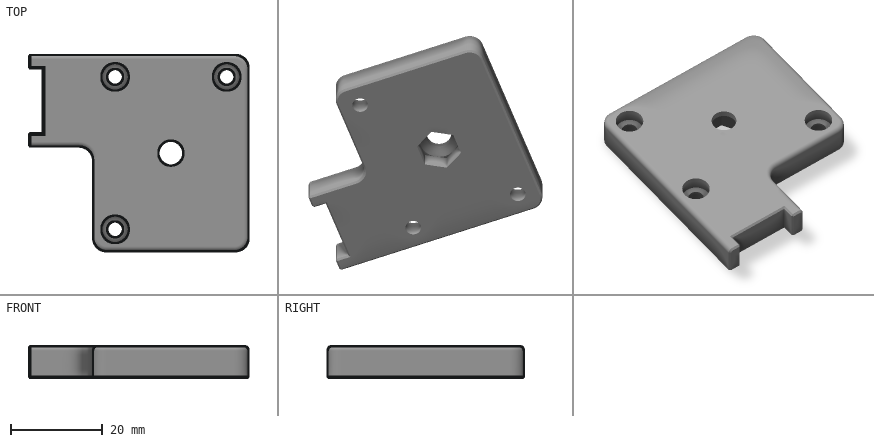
import cadquery as cq

SCREW_PITCH_X = 24.3
SCREW_PITCH_Y = 33.2
SCREW_MARGIN = 4.8
THICKNESS = 7.0
RIGHT = SCREW_PITCH_X / 2 + SCREW_MARGIN
BACK = SCREW_PITCH_Y / 2 + SCREW_MARGIN
CORNER_RADIUS = 3.0

EXTENSION_LENGTH = 14.0
EXTENSION_WIDTH = 20.0
ARM_WIDTH = 3.0
NOTCH_DEPTH = 3.0
EXTENSION_END = -RIGHT - EXTENSION_LENGTH
EXTENSION_FRONT = BACK - EXTENSION_WIDTH
NOTCH_FLOOR = EXTENSION_END + NOTCH_DEPTH
NOTCH_FRONT = EXTENSION_FRONT + ARM_WIDTH
NOTCH_BACK = BACK - ARM_WIDTH

TOP_FILLET = 1.0
EDGE_CHAMFER = 0.4

SCREW_DIAMETER = 3.4
HEAD_DIAMETER = 6.0
HEAD_DEPTH = 3.0
SCREW_CENTRES = [
    (-SCREW_PITCH_X / 2, SCREW_PITCH_Y / 2),
    (SCREW_PITCH_X / 2, SCREW_PITCH_Y / 2),
    (-SCREW_PITCH_X / 2, -SCREW_PITCH_Y / 2),
]

MIDDLE_DIAMETER = 5.4
STRAIGHT_DEPTH = 1.5
NUT_SIDES = 6
NUT_FLATS = 8.4
CONE_HEIGHT = (NUT_FLATS - MIDDLE_DIAMETER) / 2
POCKET_DEPTH = THICKNESS - STRAIGHT_DEPTH - CONE_HEIGHT

TOLERANCE = 0.01


def box_region(x_min, x_max, y_min, y_max, z_min, z_max):
    """Selector for the edges whose centres lie inside the given limits."""
    low = (x_min - TOLERANCE, y_min - TOLERANCE, z_min - TOLERANCE)
    high = (x_max + TOLERANCE, y_max + TOLERANCE, z_max + TOLERANCE)
    return cq.selectors.BoxSelector(low, high)


def make_blank():
    """L-shaped plate with rounded corners and upper rim, before the notch is cut."""
    plate = (
        cq.Workplane("XY")
        .moveTo(EXTENSION_END, BACK)
        .lineTo(RIGHT, BACK)
        .lineTo(RIGHT, -BACK)
        .lineTo(-RIGHT, -BACK)
        .lineTo(-RIGHT, EXTENSION_FRONT)
        .lineTo(EXTENSION_END, EXTENSION_FRONT)
        .close()
        .extrude(THICKNESS)
    )
    rounded = box_region(-RIGHT, RIGHT, -BACK, BACK, 0, THICKNESS)
    plate = plate.edges("|Z").edges(rounded).fillet(CORNER_RADIUS)
    return plate.faces(">Z").edges("not(<X)").fillet(TOP_FILLET)


def cut_notch(plate):
    """Open a rectangular notch through the end of the extension."""
    notch = (
        cq.Workplane("XY", origin=(EXTENSION_END, NOTCH_FRONT, 0))
        .box(NOTCH_DEPTH, NOTCH_BACK - NOTCH_FRONT, THICKNESS, centered=False)
    )
    return plate.cut(notch)


def chamfer_edges(plate):
    """Bevel the underside rim, the arm ends and the upper rim of the notch."""
    notch_rim = box_region(
        EXTENSION_END, NOTCH_FLOOR, NOTCH_FRONT, NOTCH_BACK, THICKNESS, THICKNESS
    )
    edges = plate.faces("<Z or <X").edges().add(plate.edges(notch_rim))
    return edges.chamfer(EDGE_CHAMFER)


def cut_screw_holes(plate):
    """Drill the counterbored holes from the top face."""
    return (
        plate.faces(">Z")
        .workplane(origin=(0, 0, THICKNESS))
        .pushPoints(SCREW_CENTRES)
        .cboreHole(SCREW_DIAMETER, HEAD_DIAMETER, HEAD_DEPTH)
    )


def cut_middle_hole(plate):
    """Bore the hole, widen it by a cone and open it into the hexagonal pocket."""
    pocket = (
        cq.Workplane("XY")
        .polygon(NUT_SIDES, NUT_FLATS, circumscribed=True)
        .extrude(POCKET_DEPTH)
    )
    hole = cq.Workplane("XY").circle(MIDDLE_DIAMETER / 2).extrude(THICKNESS)
    cone = (
        cq.Workplane("XY", origin=(0, 0, POCKET_DEPTH))
        .circle(NUT_FLATS / 2)
        .workplane(offset=CONE_HEIGHT)
        .circle(MIDDLE_DIAMETER / 2)
        .loft(ruled=True)
    )
    return plate.cut(pocket).cut(hole).cut(cone)


result = make_blank()
result = cut_notch(result)
result = chamfer_edges(result)
result = cut_screw_holes(result)
result = cut_middle_hole(result)